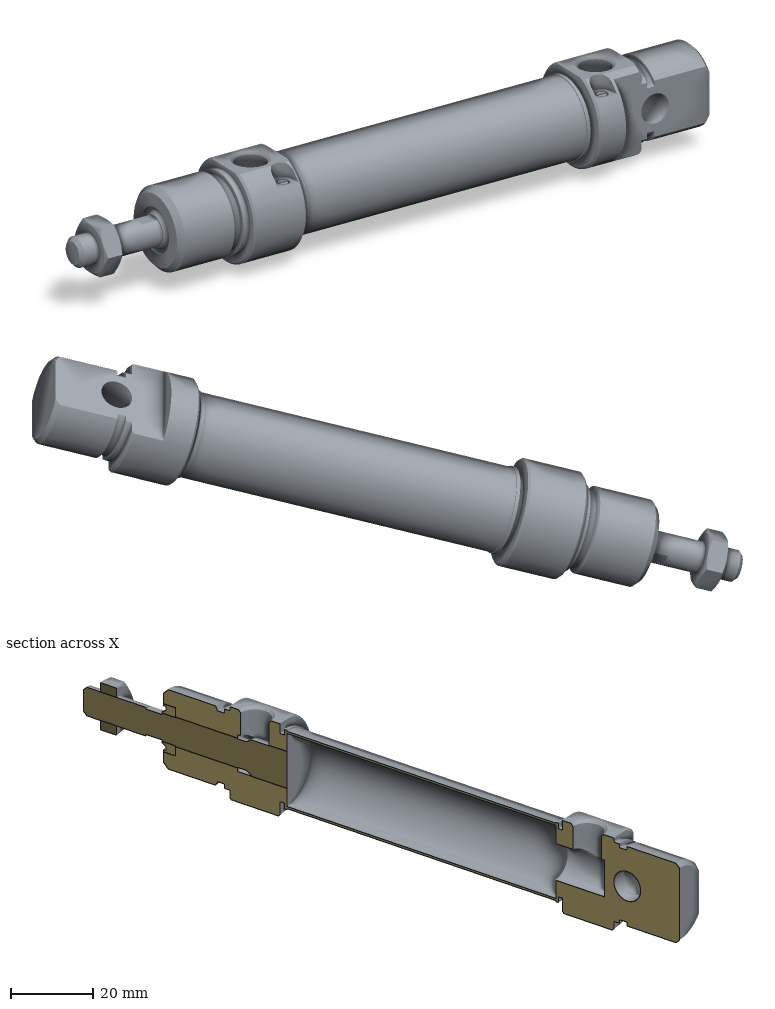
import cadquery as cq
import math


overall_length = 181.2
face_y = 24.3
nose_start_y = 40.2
relief_end_y = 42.8
front_head_y = (44.4, 59.8)
tube_y = (62.0, 143.5)
collar_width = 0.9
rear_head_y = (145.5, 161.3)
clevis_groove_y = (162.9, 165.0)

head_diameter = 27.0
thread_diameter = 22.0
tube_diameter = 21.4
tube_bore = 20.0
neck_diameter = 18.8
groove_diameter = 20.0
relief_diameter = 19.5
cushion_diameter = 10.0

overall_height = 25.5
head_flat_z = overall_height - head_diameter / 2
head_chamfer = 0.5
nose_chamfer = 1.5
relief_chamfer_length = 0.5
clevis_chamfer = 1.0
clevis_thickness = 16.0
clevis_flat_y = 153.1
pivot_y = 165.3
pivot_diameter = 8.0

port_diameter = 8.5
port_mouth_diameter = 10.0
front_port_y = sum(front_head_y) / 2
rear_port_y = 153.1
cushion_end_clearance = 0.9

adjuster_x = 8.5
adjuster_y = (56.0, 149.3)
pocket_diameter = 6.0
pocket_floor_z = 8.2
adjuster_ring_outer = 3.5
adjuster_ring_inner = 2.5
adjuster_depth = 0.7
adjuster_slot_width = 0.7

rod_diameter = 8.0
tip_diameter = 6.0
tip_chamfer = (rod_diameter - tip_diameter) / 2
sleeve_y = 51.1
sleeve_taper = 1.6
wrench_flat_width = 7.0
wrench_flat_y = 19.0

nut_across_flats = 13.0
nut_y = (5.0, 10.1)
nut_chamfer_length = 0.5
nut_face_diameter = 12.7

wiper_diameter = 13.0
wiper_length = 3.6
wiper_groove_outer = 12.0
wiper_groove_inner = 10.0
wiper_groove_depth = 0.7
wiper_lip_diameter = 8.5
wiper_lip_length = 0.5

cushion_y = (
    front_port_y - port_diameter / 2 - cushion_end_clearance,
    rear_port_y + port_diameter / 2 + cushion_end_clearance,
)


def cylinder(diameter, start_y, end_y):
    """Cylinder on the Y axis between two stations."""
    plane = cq.Plane(origin=(0, start_y, 0), xDir=(1, 0, 0), normal=(0, 1, 0))
    return cq.Workplane(plane).circle(diameter / 2).extrude(end_y - start_y)


def revolve_profile(points):
    """Solid of revolution about the Y axis from (radius, y) points."""
    return cq.Workplane("XY").polyline(points).close().revolve(360, (0, 0), (0, 1))


def make_head(stations):
    """Round head with chamfered ends and a flat on top."""
    start_y, end_y = stations
    head = cylinder(head_diameter, start_y, end_y).faces("<Y or >Y").chamfer(head_chamfer)
    above_flat = cq.Workplane("XY").box(
        head_diameter, overall_length, head_diameter, centered=(True, False, False)
    ).translate((0, 0, head_flat_z))
    return head.cut(above_flat)


def make_nose():
    """Threaded nose with a chamfered face and a thread relief behind it."""
    outer = thread_diameter / 2
    relief = relief_diameter / 2
    return revolve_profile([
        (0, face_y),
        (outer - nose_chamfer, face_y),
        (outer, face_y + nose_chamfer),
        (outer, nose_start_y),
        (relief, nose_start_y + relief_chamfer_length),
        (relief, relief_end_y),
        (outer, relief_end_y),
        (outer, front_head_y[0]),
        (0, front_head_y[0]),
    ])


def make_tube():
    """Tube with a collar and a neck at each end."""
    front_y, rear_y = tube_y
    tube = cylinder(tube_diameter, front_y, rear_y)
    tube = tube.union(cylinder(thread_diameter, front_y - collar_width, front_y))
    tube = tube.union(cylinder(thread_diameter, rear_y, rear_y + collar_width))
    return tube.union(cylinder(neck_diameter, front_head_y[1], rear_head_y[0]))


def make_clevis_stub():
    """Round stub behind the rear head, with its groove and end chamfer."""
    groove_start, groove_end = clevis_groove_y
    stub = cylinder(thread_diameter, rear_head_y[1], overall_length).faces(">Y").chamfer(clevis_chamfer)
    groove = cylinder(thread_diameter, groove_start, groove_end).cut(
        cylinder(groove_diameter, groove_start, groove_end)
    )
    return stub.cut(groove)


def clevis_side_cuts():
    """Material taken off both sides to leave the flat clevis."""
    half_gap = clevis_thickness / 2
    length = overall_length - clevis_flat_y
    side = cq.Workplane("XY").box(head_diameter, length, 2 * head_diameter, centered=(False, False, True))
    side = side.translate((half_gap, clevis_flat_y, 0))
    return side.union(side.mirror("YZ"))


def make_pivot_hole():
    """Pivot hole across the clevis."""
    return (
        cq.Workplane("YZ").center(pivot_y, 0)
        .circle(pivot_diameter / 2).extrude(clevis_thickness / 2, both=True)
    )


def make_bores():
    """Stepped bore: wiper seat, rod hole, front cushion, tube and rear cushion."""
    bores = cylinder(wiper_diameter, face_y, face_y + wiper_length)
    bores = bores.union(cylinder(rod_diameter, face_y, cushion_y[0]))
    bores = bores.union(cylinder(cushion_diameter, *cushion_y))
    return bores.union(cylinder(tube_bore, *tube_y))


def make_port(y):
    """Port from the head flat down to the bore, with a chamfered mouth."""
    bore = port_diameter / 2
    mouth = port_mouth_diameter / 2
    profile = [
        (0, 0),
        (bore, 0),
        (bore, head_flat_z - (mouth - bore)),
        (mouth, head_flat_z),
        (0, head_flat_z),
    ]
    port = cq.Workplane("XZ").polyline(profile).close().revolve(360, (0, 0), (0, 1))
    return port.translate((0, y, 0))


def make_adjuster_cut(y):
    """Pocket open to the side, with a slotted cushion screw outlined in its floor."""
    floor = cq.Workplane("XY").workplane(offset=pocket_floor_z).center(adjuster_x, y)
    radius = pocket_diameter / 2
    pocket = (
        floor.moveTo(head_diameter / 2, -radius).lineTo(0, -radius)
        .threePointArc((-radius, 0), (0, radius))
        .lineTo(head_diameter / 2, radius).close().extrude(head_diameter)
    )
    ring = floor.circle(adjuster_ring_outer / 2).circle(adjuster_ring_inner / 2).extrude(-adjuster_depth)
    slot = floor.rect(adjuster_slot_width, adjuster_ring_inner).extrude(-adjuster_depth)
    return pocket.union(ring).union(slot)


def make_housing():
    """Nose, heads, tube and clevis as one solid."""
    housing = make_nose().union(make_head(front_head_y)).union(make_tube())
    housing = housing.union(make_head(rear_head_y)).union(make_clevis_stub())
    housing = housing.cut(clevis_side_cuts()).cut(make_pivot_hole()).cut(make_bores())
    for port_y in (front_port_y, rear_port_y):
        housing = housing.cut(make_port(port_y))
    for screw_y in adjuster_y:
        housing = housing.cut(make_adjuster_cut(screw_y))
    return housing


def make_rod():
    """Rod with a chamfered tip, wrench flats and a tapered cushion sleeve."""
    radius = rod_diameter / 2
    sleeve = cushion_diameter / 2
    rod = revolve_profile([
        (0, 0),
        (tip_diameter / 2, 0),
        (radius, tip_chamfer),
        (radius, sleeve_y - sleeve_taper),
        (sleeve, sleeve_y),
        (sleeve, tube_y[0]),
        (0, tube_y[0]),
    ])
    flat_end_y = face_y - wiper_lip_length
    flat_length = flat_end_y - wrench_flat_y
    above_flat = cq.Workplane("XY").box(rod_diameter, flat_length, radius, centered=(True, False, False))
    above_flat = above_flat.translate((0, wrench_flat_y, wrench_flat_width / 2))
    return rod.cut(above_flat).cut(above_flat.mirror("XY"))


def make_nut():
    """Hexagon nut with flats on top and bottom and both ends chamfered."""
    start_y, end_y = nut_y
    across_corners = nut_across_flats / math.cos(math.pi / 6)
    plane = cq.Plane(origin=(0, start_y, 0), xDir=(1, 0, 0), normal=(0, 1, 0))
    hexagon = cq.Workplane(plane).polygon(6, across_corners).extrude(end_y - start_y)
    corner = across_corners / 2
    face = nut_face_diameter / 2
    rounding = revolve_profile([
        (0, start_y),
        (face, start_y),
        (corner, start_y + nut_chamfer_length),
        (corner, end_y - nut_chamfer_length),
        (face, end_y),
        (0, end_y),
    ])
    return hexagon.intersect(rounding).cut(cylinder(rod_diameter, start_y, end_y))


def make_wiper():
    """Wiper ring seated in the nose, with a groove around a tapered lip that hugs the rod."""
    inner = rod_diameter / 2
    outer = wiper_diameter / 2
    groove_floor_y = face_y + wiper_groove_depth
    lip_y = face_y - wiper_lip_length
    return revolve_profile([
        (inner, face_y + wiper_length),
        (outer, face_y + wiper_length),
        (outer, face_y),
        (wiper_groove_outer / 2, face_y),
        (wiper_groove_outer / 2, groove_floor_y),
        (wiper_groove_inner / 2, groove_floor_y),
        (wiper_lip_diameter / 2, lip_y),
        (inner, lip_y),
    ])


housing = make_housing()
rod = make_rod()
nut = make_nut()
wiper = make_wiper()

result = cq.Compound.makeCompound([housing.val(), rod.val(), nut.val(), wiper.val()])